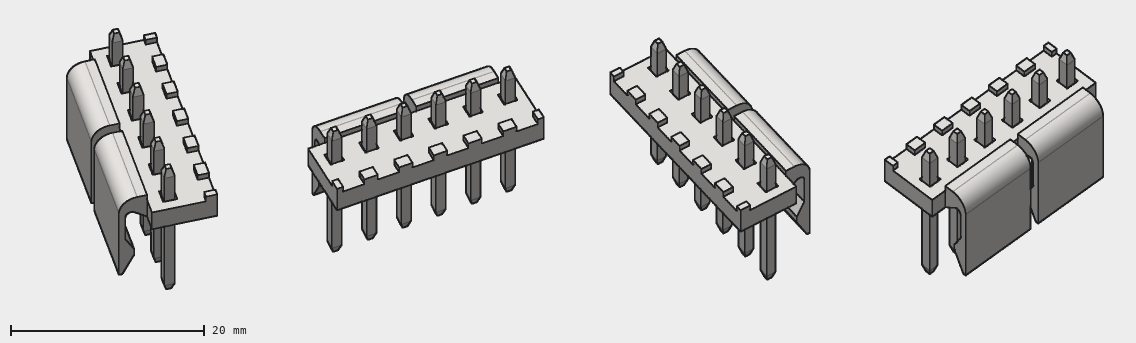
import cadquery as cq
import math

pin_count = 6
pitch = 3.96
pin_width = 1.14
pin_length = 18.29
pin_taper = 1.0
pin_tip_width = 0.56
pin_from_back = 4.74
pin_row_shift = -0.04

body_width = 23.62
body_depth = 7.01
body_height = 2.55
pin_above_body = 4.30
funnel_width = 1.53
funnel_depth = 0.36

rib_width = 1.53
rib_depth = 1.22
rib_height = 0.71

latch_total_width = 19.86
latch_gap = 1.07
latch_reach = 3.02
latch_thickness = 0.71
latch_length = 11.27
crown_radius = 1.95
throat_radius = 0.6
throat_drop = 2.12
lobe_top_drop = 6.08
lobe_offset = 1.65
lobe_flat_start = 7.81
lobe_flat_end = 8.68
toe_thickness = 0.36

pin_y = body_depth - pin_from_back
pin_top = body_height + pin_above_body
latch_top = body_height + rib_height


def make_body():
    """Plain block that carries the pins."""
    return cq.Workplane("XY").box(
        body_width, body_depth, body_height, centered=(True, False, False)
    )


def make_ribs():
    """Ribs midway between pins; the outermost two are trimmed flush with the body ends."""
    rib_places = [((i - pin_count / 2) * pitch, body_depth - rib_depth / 2) for i in range(pin_count + 1)]
    ribs = cq.Workplane("XY").pushPoints(rib_places).rect(rib_width, rib_depth).extrude(latch_top)
    envelope = cq.Workplane("XY").box(
        body_width, body_depth, latch_top, centered=(True, False, False)
    )
    return ribs.intersect(envelope)


def square_frustum(x, z_start, start_width, height, end_width):
    """Square frustum on the pin axis; a negative height makes it grow downwards."""
    return (
        cq.Workplane("XY", origin=(x, pin_y, z_start))
        .rect(start_width, start_width)
        .workplane(offset=height)
        .rect(end_width, end_width)
        .loft(ruled=True)
    )


def make_funnel(x):
    """Lead-in recess narrowing down to the pin faces; its mouth is centred on the body's own pitch."""
    return (
        cq.Workplane("XY", origin=(x, pin_y, body_height))
        .center(-pin_row_shift, 0)
        .rect(funnel_width, funnel_width)
        .workplane(offset=-funnel_depth)
        .center(pin_row_shift, 0)
        .rect(pin_width, pin_width)
        .loft(ruled=True)
    )


def make_pin(x):
    """Square pin with both ends tapered."""
    shank_top = pin_top - pin_taper
    shank_bottom = pin_top - pin_length + pin_taper
    shank = square_frustum(x, shank_bottom, pin_width, shank_top - shank_bottom, pin_width)
    upper_tip = square_frustum(x, shank_top, pin_width, pin_taper, pin_tip_width)
    lower_tip = square_frustum(x, shank_bottom, pin_width, -pin_taper, pin_tip_width)
    return shank.union(upper_tip).union(lower_tip)


def make_latch(x_start, width):
    """Hooked spring latch: profile in the YZ plane, swept along X."""
    outer_y = -latch_reach
    inner_y = outer_y + latch_thickness
    lobe_y = outer_y + lobe_offset
    toe_z = latch_top - latch_length

    crown_y = outer_y + crown_radius
    crown_z = latch_top - crown_radius
    crown_mid = crown_radius * math.cos(math.pi / 4)

    throat_y = inner_y + throat_radius
    throat_z = latch_top - throat_drop - throat_radius
    edge_distance = math.hypot(throat_y, throat_z)
    tangent_angle = math.atan2(-throat_z, -throat_y) + math.acos(throat_radius / edge_distance)
    middle_angle = (tangent_angle + math.pi) / 2

    def throat_point(angle):
        return (throat_y + throat_radius * math.cos(angle), throat_z + throat_radius * math.sin(angle))

    return (
        cq.Workplane("YZ", origin=(x_start, 0, 0))
        .moveTo(0, 0)
        .lineTo(0, latch_top)
        .lineTo(crown_y, latch_top)
        .threePointArc((crown_y - crown_mid, crown_z + crown_mid), (outer_y, crown_z))
        .lineTo(outer_y, toe_z)
        .lineTo(outer_y + toe_thickness, toe_z)
        .lineTo(lobe_y, latch_top - lobe_flat_end)
        .lineTo(lobe_y, latch_top - lobe_flat_start)
        .lineTo(inner_y, latch_top - lobe_top_drop)
        .lineTo(inner_y, throat_z)
        .threePointArc(throat_point(middle_angle), throat_point(tangent_angle))
        .close()
        .extrude(width)
    )


pin_places = [pin_row_shift + (i - (pin_count - 1) / 2) * pitch for i in range(pin_count)]
latch_width = (latch_total_width - latch_gap) / 2

result = make_body().union(make_ribs())
for latch_start in (-latch_total_width / 2, latch_gap / 2):
    result = result.union(make_latch(latch_start, latch_width))
for pin_x in pin_places:
    result = result.cut(make_funnel(pin_x)).union(make_pin(pin_x))